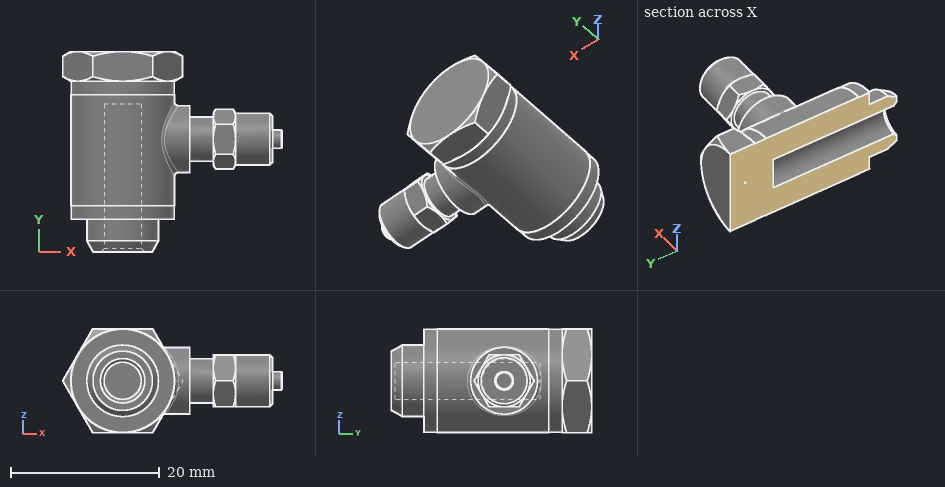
import cadquery as cq
import math


head_top = 11.8
head_thickness = 4.0
head_across_flats = 14.0
washer_thickness = 1.8
washer_diameter = 13.9
body_length = 15.0
body_diameter = 14.0
stud_length = 4.4
stud_diameter = 9.65
stud_taper_length = 1.5
stud_tip_diameter = 8.0

bore_diameter = 5.0
bore_mouth_diameter = 6.0
bore_mouth_depth = 0.5
bore_depth = 20.0

boss_diameter = 9.0
boss_end = 9.05
boss_fillet = 0.5
neck_diameter = 6.0
nut_start = 12.2
nut_thickness = 3.0
nut_across_flats = 7.0
sleeve_diameter = 7.0
sleeve_end = 20.2
sleeve_chamfer = 0.4
tip_diameter = 2.5
tip_end = 21.5
tip_chamfer = 0.15

crown_angle = math.radians(30)

head_bottom = head_top - head_thickness
body_top = head_bottom - washer_thickness
body_bottom = body_top - body_length
stud_top = body_bottom - washer_thickness
stud_bottom = stud_top - stud_length
nut_end = nut_start + nut_thickness


def bolt_cylinder(diameter, top, bottom):
    """Cylinder on the Y axis, from y = top down to y = bottom."""
    start = cq.Workplane("XZ", origin=(0, top, 0))
    return start.circle(diameter / 2).extrude(top - bottom)


def branch_cylinder(diameter, start, end):
    """Cylinder on the X axis, from x = start to x = end."""
    return cq.Workplane("YZ", origin=(start, 0, 0)).circle(diameter / 2).extrude(end - start)


def crowned_hexagon(across_flats, thickness):
    """Hexagon standing on z = 0, corners along local X, with conical bevels on both faces."""
    flat_radius = across_flats / 2
    corner_radius = flat_radius / math.cos(math.pi / 6)
    bevel_height = (corner_radius - flat_radius) * math.tan(crown_angle)
    hexagon = cq.Workplane("XY").polygon(6, 2 * corner_radius).extrude(thickness)
    envelope = (
        cq.Workplane("XZ")
        .moveTo(0, 0)
        .lineTo(flat_radius, 0)
        .lineTo(corner_radius, bevel_height)
        .lineTo(corner_radius, thickness - bevel_height)
        .lineTo(flat_radius, thickness)
        .lineTo(0, thickness)
        .close()
        .revolve(360, (0, 0, 0), (0, 1, 0))
    )
    return hexagon.intersect(envelope)


def make_body():
    """Banjo body with its branch boss blended in."""
    body = bolt_cylinder(body_diameter, body_top, body_bottom)
    body = body.union(branch_cylinder(boss_diameter, 0, boss_end))
    blend_zone = cq.selectors.BoxSelector(
        (0, -boss_diameter, -boss_diameter),
        (body_diameter / 2, boss_diameter, boss_diameter),
    )
    straight_edges = cq.selectors.TypeSelector("LINE")
    round_edges = cq.selectors.TypeSelector("CIRCLE")
    seam_curves = blend_zone - straight_edges - round_edges
    return body.edges(seam_curves).fillet(boss_fillet)


def make_bolt():
    """Hexagon head, the two sealing washers and the tapered stud."""
    head = crowned_hexagon(head_across_flats, head_thickness)
    head = head.rotate((0, 0, 0), (1, 0, 0), -90).translate((0, head_bottom, 0))
    upper_washer = bolt_cylinder(washer_diameter, head_bottom, body_top)
    lower_washer = bolt_cylinder(washer_diameter, body_bottom, stud_top)
    stud_taper_width = (stud_diameter - stud_tip_diameter) / 2
    stud = bolt_cylinder(stud_diameter, stud_top, stud_bottom)
    stud = stud.faces("<Y").chamfer(stud_taper_length, stud_taper_width)
    return head.union(upper_washer).union(lower_washer).union(stud)


def make_branch():
    """Neck, hexagon nut, sleeve and tip beyond the boss."""
    neck = branch_cylinder(neck_diameter, boss_end, nut_start)
    nut = crowned_hexagon(nut_across_flats, nut_thickness)
    nut = nut.rotate((0, 0, 0), (0, 0, 1), 90).rotate((0, 0, 0), (0, 1, 0), 90)
    nut = nut.translate((nut_start, 0, 0))
    sleeve = branch_cylinder(sleeve_diameter, nut_end, sleeve_end).faces(">X").chamfer(sleeve_chamfer)
    tip = branch_cylinder(tip_diameter, sleeve_end, tip_end).faces(">X").chamfer(tip_chamfer)
    return neck.union(nut).union(sleeve).union(tip)


def make_bore():
    """Blind bore with a conical mouth, opening at the stud end."""
    return (
        cq.Workplane("XY")
        .moveTo(0, stud_bottom)
        .lineTo(bore_mouth_diameter / 2, stud_bottom)
        .lineTo(bore_diameter / 2, stud_bottom + bore_mouth_depth)
        .lineTo(bore_diameter / 2, stud_bottom + bore_depth)
        .lineTo(0, stud_bottom + bore_depth)
        .close()
        .revolve(360, (0, 0, 0), (0, 1, 0))
    )


result = make_body().union(make_bolt()).union(make_branch()).cut(make_bore())